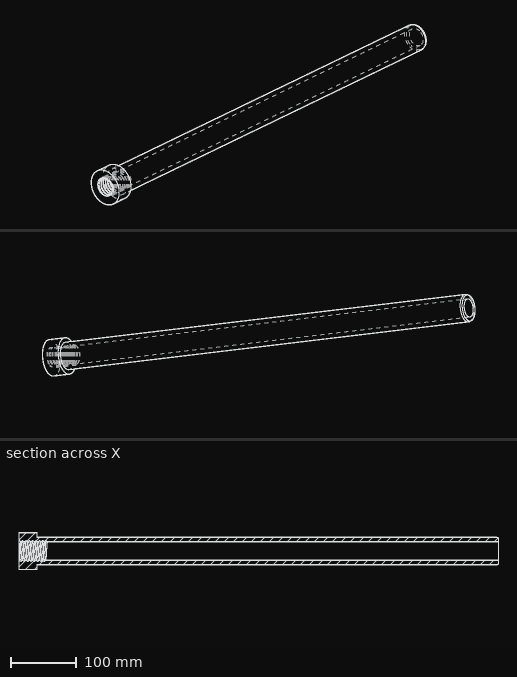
import cadquery as cq

total_length = 728.0
head_diameter = 56.0
head_length = 28.0
shaft_diameter = 42.0

taper_length = 3.0
taper_inset = 1.1

bore_diameter = 28.0
thread_diameter = 31.0
thread_length = 44.0
thread_pitch = 5.0
groove_width = 0.8 * thread_pitch
groove_overlap = 0.4
thread_start_angle = 240.0

head_radius = head_diameter / 2
shaft_radius = shaft_diameter / 2
bore_radius = bore_diameter / 2
head_face_y = -total_length / 2
shoulder_y = head_face_y + head_length
tip_y = total_length / 2


def make_body():
    """Head, shaft and end taper, revolved about Y."""
    profile = (
        cq.Workplane("XY")
        .moveTo(0, head_face_y)
        .lineTo(head_radius, head_face_y)
        .lineTo(head_radius, shoulder_y)
        .lineTo(shaft_radius, shoulder_y)
        .lineTo(shaft_radius, tip_y - taper_length)
        .lineTo(shaft_radius - taper_inset, tip_y)
        .lineTo(0, tip_y)
        .close()
    )
    return profile.revolve(360, (0, 0, 0), (0, 1, 0))


def make_bore():
    """Plain cylinder running through the whole length."""
    return cq.Workplane("XZ", origin=(0, head_face_y, 0)).circle(bore_radius).extrude(-total_length)


def make_thread_groove():
    """Helical V groove, starting one pitch outside the head face so it runs out through it."""
    helix = cq.Wire.makeHelix(thread_pitch, thread_length + thread_pitch, bore_radius)
    groove_depth = thread_diameter / 2 - bore_radius
    open_half_width = groove_width / 2 * (1 + groove_overlap / groove_depth)
    inner_radius = bore_radius - groove_overlap
    groove = (
        cq.Workplane("XZ")
        .moveTo(inner_radius, -open_half_width)
        .lineTo(thread_diameter / 2, 0)
        .lineTo(inner_radius, open_half_width)
        .close()
        .sweep(cq.Workplane("XY").add(helix), isFrenet=True)
    )
    return (
        groove.rotate((0, 0, 0), (0, 0, 1), thread_start_angle)
        .rotate((0, 0, 0), (1, 0, 0), -90)
        .translate((0, head_face_y - thread_pitch, 0))
    )


result = make_body().cut(make_bore()).cut(make_thread_groove())